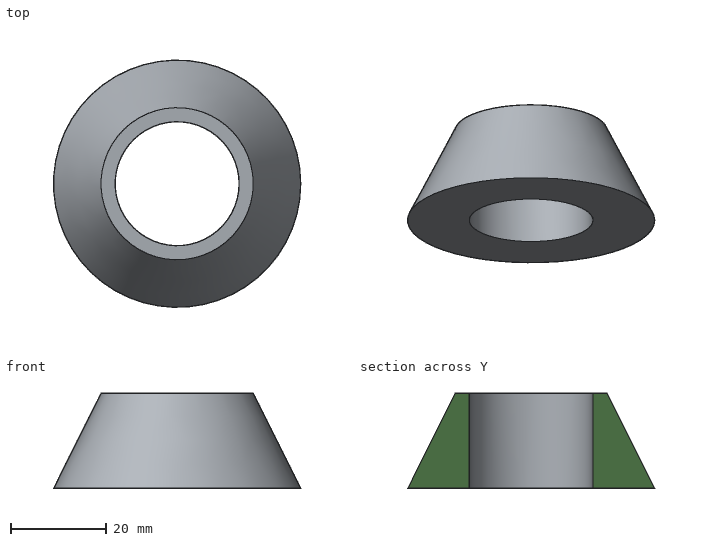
import cadquery as cq

base_diameter = 52.0
top_diameter = 32.0
bore_diameter = 26.0
height = 20.0

base_radius = base_diameter / 2
top_radius = top_diameter / 2
bore_radius = bore_diameter / 2

section = (
    cq.Workplane("XZ")
    .moveTo(bore_radius, 0)
    .lineTo(base_radius, 0)
    .lineTo(top_radius, height)
    .lineTo(bore_radius, height)
    .close()
)

result = section.revolve(360, (0, 0, 0), (0, 1, 0))